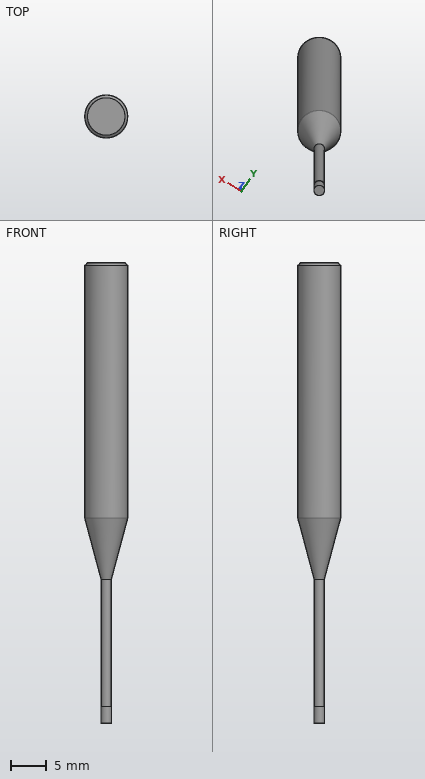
import cadquery as cq
import math

overall_length = 64.0
shank_diameter = 6.0
shank_chamfer = 0.4
neck_diameter = 1.45
tip_diameter = 1.5
tip_length = 2.3
reach = 20.0
cone_half_angle = 15.0

shank_radius = shank_diameter / 2
neck_radius = neck_diameter / 2
tip_radius = tip_diameter / 2
cone_length = (shank_radius - neck_radius) / math.tan(math.radians(cone_half_angle))
cone_top = reach + cone_length


def make_tip():
    """Cutting tip: a plain cylinder, slightly wider than the neck."""
    return cq.Workplane("XY").circle(tip_radius).extrude(tip_length)


def make_neck():
    """Slim round neck between the tip and the cone."""
    return (
        cq.Workplane("XY")
        .workplane(offset=tip_length)
        .circle(neck_radius)
        .extrude(reach - tip_length)
    )


def make_shank():
    """Round shank, coned down to the neck below and chamfered at its free end."""
    half_profile = (
        cq.Workplane("XZ")
        .moveTo(0, reach)
        .lineTo(neck_radius, reach)
        .lineTo(shank_radius, cone_top)
        .lineTo(shank_radius, overall_length - shank_chamfer)
        .lineTo(shank_radius - shank_chamfer, overall_length)
        .lineTo(0, overall_length)
        .close()
    )
    return half_profile.revolve(360, (0, 0, 0), (0, 1, 0))


tip = make_tip()
neck = make_neck()
shank = make_shank()

result = cq.Compound.makeCompound([tip.val(), neck.val(), shank.val()])